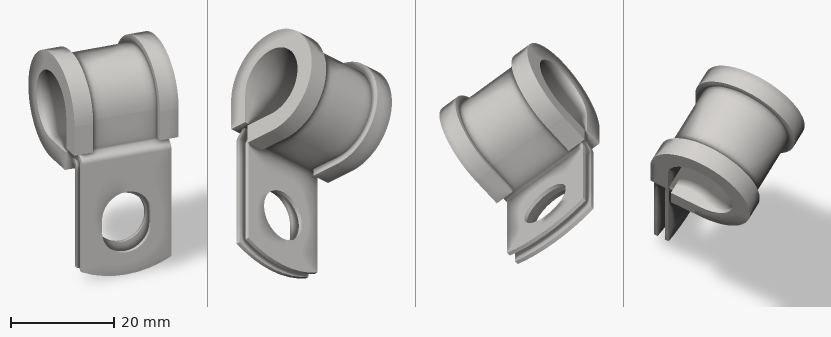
import cadquery as cq
import math

overall_height = 44.3
cushion_width = 22.1
flange_width = 4.0
flange_radius = 11.015
bore_radius = 7.15
band_radius = 9.55
upper_end_z = -6.15
lower_end_x = 6.45

strap_width = 19.05
strap_thickness = 0.8
band_inner_radius = band_radius - strap_thickness
front_tab_x = 8.6
rear_tab_x = flange_radius
bend_radius = 0.55
outer_bend_radius = bend_radius + strap_thickness
tab_bottom_z = flange_radius - overall_height
tip_rise = 2.15

jog_angle = math.radians(45)
jog_bend_radius = 0.45

hole_diameter = 10.35
hole_z = -22.2
rear_slot_length = 12.85


def loop(outer_radius, width):
    """Three-quarter ring with straight ends, centred along Y."""
    diagonal = math.sqrt(0.5)
    return (
        cq.Workplane("XZ")
        .moveTo(outer_radius, upper_end_z)
        .lineTo(outer_radius, 0)
        .threePointArc((-outer_radius * diagonal, outer_radius * diagonal), (0, -outer_radius))
        .lineTo(lower_end_x, -outer_radius)
        .lineTo(lower_end_x, -bore_radius)
        .lineTo(0, -bore_radius)
        .threePointArc((-bore_radius * diagonal, bore_radius * diagonal), (bore_radius, 0))
        .lineTo(bore_radius, upper_end_z)
        .close()
        .extrude(width / 2, both=True)
    )


def front_tab():
    """Strap leaving the lower loop end and turning down."""
    bend_start_x = front_tab_x - outer_bend_radius
    bend_end_z = -band_inner_radius - outer_bend_radius
    return (
        cq.Workplane("XZ")
        .moveTo(lower_end_x, -band_inner_radius)
        .lineTo(bend_start_x, -band_inner_radius)
        .radiusArc((front_tab_x, bend_end_z), outer_bend_radius)
        .lineTo(front_tab_x, tab_bottom_z)
        .lineTo(front_tab_x - strap_thickness, tab_bottom_z)
        .lineTo(front_tab_x - strap_thickness, bend_end_z)
        .radiusArc((bend_start_x, -band_radius), -bend_radius)
        .lineTo(lower_end_x, -band_radius)
        .close()
        .extrude(strap_width / 2, both=True)
    )


def rear_tab():
    """Strap leaving the upper loop end and jogging outward before running down."""
    side_step = rear_tab_x - band_radius
    outer_radius = jog_bend_radius + strap_thickness
    bend_x = (jog_bend_radius + outer_radius) * (1 - math.cos(jog_angle))
    bend_drop = (jog_bend_radius + outer_radius) * math.sin(jog_angle)
    slope_drop = (side_step - bend_x) / math.tan(jog_angle)
    jog_end_z = upper_end_z - bend_drop - slope_drop

    def bend_side(radius):
        """Sideways and downward travel of one bend."""
        return radius * (1 - math.cos(jog_angle)), radius * math.sin(jog_angle)

    small_x, small_z = bend_side(jog_bend_radius)
    large_x, large_z = bend_side(outer_radius)
    inner_top_x = band_inner_radius
    inner_tab_x = rear_tab_x - strap_thickness
    return (
        cq.Workplane("XZ")
        .moveTo(band_radius, upper_end_z)
        .radiusArc((band_radius + small_x, upper_end_z - small_z), -jog_bend_radius)
        .lineTo(rear_tab_x - large_x, jog_end_z + large_z)
        .radiusArc((rear_tab_x, jog_end_z), outer_radius)
        .lineTo(rear_tab_x, tab_bottom_z)
        .lineTo(inner_tab_x, tab_bottom_z)
        .lineTo(inner_tab_x, jog_end_z)
        .radiusArc((inner_tab_x - small_x, jog_end_z + small_z), -jog_bend_radius)
        .lineTo(inner_top_x + large_x, upper_end_z - large_z)
        .radiusArc((inner_top_x, upper_end_z), outer_radius)
        .close()
        .extrude(strap_width / 2, both=True)
    )


def tab_envelope():
    """Rounded-tip blank that trims both tabs."""
    half_width = strap_width / 2
    tip_corner_z = tab_bottom_z + tip_rise
    return (
        cq.Workplane("YZ")
        .moveTo(-half_width, 0)
        .lineTo(-half_width, tip_corner_z)
        .threePointArc((0, tab_bottom_z), (half_width, tip_corner_z))
        .lineTo(half_width, 0)
        .close()
        .extrude(2 * flange_radius)
    )


def bolt_slot():
    """Vertical slot through the rear tab, as wide as the front hole."""
    return (
        cq.Workplane("YZ", origin=(front_tab_x, 0, hole_z))
        .slot2D(rear_slot_length, hole_diameter, 90)
        .extrude(2 * (rear_tab_x - front_tab_x))
    )


def bolt_hole():
    """Round hole through the front tab."""
    return (
        cq.Workplane("YZ", origin=(0, 0, hole_z))
        .circle(hole_diameter / 2)
        .extrude(front_tab_x)
    )


cushion = loop(band_radius, cushion_width)
flange_offset = (cushion_width - flange_width) / 2
for side in (-1, 1):
    flange = loop(flange_radius, flange_width).translate((0, side * flange_offset, 0))
    cushion = cushion.union(flange)

front = front_tab().cut(bolt_hole())
rear = rear_tab().cut(bolt_slot())
tabs = front.union(rear).intersect(tab_envelope())
result = cushion.union(tabs)